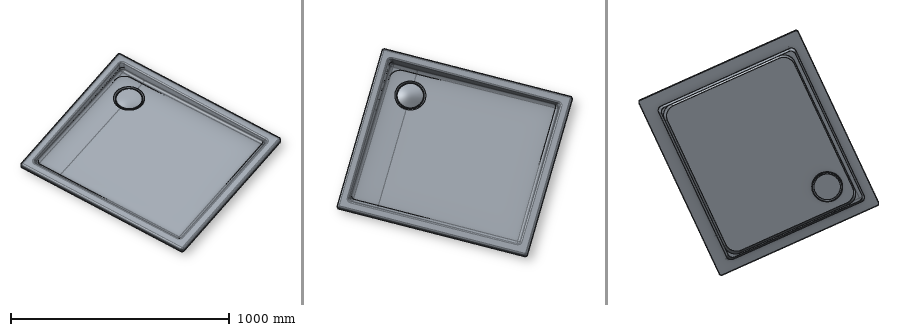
import cadquery as cq
import math

LENGTH = 900.0
WIDTH = 800.0
HEIGHT = 45.0
RIM_BOTTOM = 24.0
CORNER_RADIUS = 11.0
RIM_EDGE_RADIUS = 9.0

BOWL_INSET_FRONT_LEFT = (40.0, 40.5)
BOWL_INSET_FRONT_RIGHT = (44.0, 44.0)
BOWL_INSET_BACK_RIGHT = (40.5, 45.0)
BOWL_INSET_BACK_LEFT = (39.0, 39.0)
WALL_TAPER = 35.0
BOWL_RADIUS = 18.0
BOWL_LIP_RADIUS = 9.0

FLOOR_AT_DRAIN = 17.0
RISE_TO_LEFT = 1.0
RISE_TO_RIGHT = 11.0
RISE_TO_FRONT = 10.0

TIER_SPLIT = 12.0
UNDER_BOTTOM = 6.0
UPPER_TIER_TOP = {"left": 47.0, "right": 64.0, "front": 64.0, "back": 46.0}
UPPER_TIER_BOTTOM = {"left": 57.0, "right": 73.0, "front": 76.0, "back": 53.0}
LOWER_TIER_TOP = {"left": 63.0, "right": 73.0, "front": 76.0, "back": 71.0}
LOWER_TIER_BOTTOM = {"left": 74.0, "right": 82.0, "front": 86.0, "back": 76.5}
UPPER_TIER_CORNER_RADIUS = 22.5
LOWER_TIER_CORNER_RADIUS = 54.0

DRAIN_INSET = 180.0
SUMP_TOP = 12.0
SUMP_TOP_DIAMETER = 148.0
SUMP_BOTTOM_DIAMETER = 134.0
RECESS_LIP_DIAMETER = 140.0
RECESS_SEAT_DIAMETER = 126.0
RECESS_LIP_DEPTH = 7.0
RECESS_BOTTOM = 4.5

COVER_DIAMETER = 121.0
COVER_EDGE_HEIGHT = 15.0
COVER_CROWN_HEIGHT = 26.0

LEFT = -LENGTH / 2
RIGHT = LENGTH / 2
FRONT = -WIDTH / 2
BACK = WIDTH / 2
DRAIN_X = LEFT + DRAIN_INSET
DRAIN_Y = BACK - DRAIN_INSET


def rounded_section(height, insets, corner_radius):
    """Rounded rectangle at a given height, set in from the four outer faces."""
    size_x = LENGTH - insets["left"] - insets["right"]
    size_y = WIDTH - insets["front"] - insets["back"]
    center_x = (insets["left"] - insets["right"]) / 2
    center_y = (insets["front"] - insets["back"]) / 2
    section = cq.Sketch().rect(size_x, size_y).vertices().fillet(corner_radius)
    return section.moved(cq.Location(cq.Vector(center_x, center_y, height)))


def make_rim():
    slab = cq.Workplane("XY").workplane(offset=RIM_BOTTOM).rect(LENGTH, WIDTH).extrude(HEIGHT - RIM_BOTTOM)
    return slab.edges("|Z").fillet(CORNER_RADIUS).faces(">Z").edges().fillet(RIM_EDGE_RADIUS)


def make_tier(bottom, top, bottom_insets, top_insets, corner_radius):
    """Tapered block with rounded corners."""
    lower = rounded_section(bottom, bottom_insets, corner_radius)
    upper = rounded_section(top, top_insets, corner_radius)
    return cq.Workplane("XY").placeSketch(lower, upper).loft(ruled=True)


def make_underside():
    upper_tier = make_tier(
        TIER_SPLIT, RIM_BOTTOM, UPPER_TIER_BOTTOM, UPPER_TIER_TOP, UPPER_TIER_CORNER_RADIUS
    )
    lower_tier = make_tier(
        UNDER_BOTTOM, TIER_SPLIT, LOWER_TIER_BOTTOM, LOWER_TIER_TOP, LOWER_TIER_CORNER_RADIUS
    )
    return upper_tier.union(lower_tier)


def cone_at_drain(bottom, top, bottom_diameter, top_diameter):
    return (
        cq.Workplane("XY").workplane(offset=bottom).center(DRAIN_X, DRAIN_Y).circle(bottom_diameter / 2)
        .workplane(offset=top - bottom).circle(top_diameter / 2)
        .loft(ruled=True)
    )


def cylinder_at_drain(bottom, top, diameter):
    base = cq.Workplane("XY").workplane(offset=bottom).center(DRAIN_X, DRAIN_Y)
    return base.circle(diameter / 2).extrude(top - bottom)


def make_space_above_floor():
    """Block whose lower side is the floor: a shallow valley along Y, tilted to rise to the front."""
    profile = [
        (LEFT, FLOOR_AT_DRAIN + RISE_TO_LEFT),
        (DRAIN_X, FLOOR_AT_DRAIN),
        (RIGHT, FLOOR_AT_DRAIN + RISE_TO_RIGHT),
        (RIGHT, 2 * HEIGHT),
        (LEFT, 2 * HEIGHT),
    ]
    block = cq.Workplane("XZ").polyline(profile).close().extrude(WIDTH, both=True)
    tilt = math.degrees(math.atan(RISE_TO_FRONT / (DRAIN_Y - FRONT)))
    return block.rotate((LEFT, DRAIN_Y, FLOOR_AT_DRAIN), (RIGHT, DRAIN_Y, FLOOR_AT_DRAIN), -tilt)


def make_bowl():
    """Volume inside the bowl: sloping walls above the floor."""
    opening = [
        (LEFT + BOWL_INSET_FRONT_LEFT[0], FRONT + BOWL_INSET_FRONT_LEFT[1]),
        (RIGHT - BOWL_INSET_FRONT_RIGHT[0], FRONT + BOWL_INSET_FRONT_RIGHT[1]),
        (RIGHT - BOWL_INSET_BACK_RIGHT[0], BACK - BOWL_INSET_BACK_RIGHT[1]),
        (LEFT + BOWL_INSET_BACK_LEFT[0], BACK - BOWL_INSET_BACK_LEFT[1]),
    ]
    walls = (
        cq.Workplane("XY").workplane(offset=HEIGHT).polyline(opening).close()
        .extrude(-HEIGHT, taper=WALL_TAPER)
    )
    bowl = walls.intersect(make_space_above_floor())

    opening_edges = bowl.faces(">Z").edges().vals()
    valley_middle = (DRAIN_X, 0, FLOOR_AT_DRAIN + RISE_TO_FRONT * DRAIN_Y / (DRAIN_Y - FRONT))
    valley = bowl.edges(cq.NearestToPointSelector(valley_middle)).val()
    sharp_edges = opening_edges + [valley]
    rounded = [
        edge for edge in bowl.edges().vals()
        if not any(edge.isSame(sharp) for sharp in sharp_edges)
    ]
    return bowl.newObject(rounded).fillet(BOWL_RADIUS)


def make_tray():
    tray = make_rim().union(make_underside())
    tray = tray.union(cone_at_drain(0, SUMP_TOP, SUMP_BOTTOM_DIAMETER, SUMP_TOP_DIAMETER))
    tray = tray.cut(make_bowl())

    lip = tray.faces(">Z").val().innerWires()[0]
    tray = tray.newObject(lip.Edges()).fillet(BOWL_LIP_RADIUS)

    seat = FLOOR_AT_DRAIN - RECESS_LIP_DEPTH
    slope = (RECESS_LIP_DIAMETER - RECESS_SEAT_DIAMETER) / RECESS_LIP_DEPTH
    lip_top_diameter = RECESS_SEAT_DIAMETER + slope * (HEIGHT - seat)
    tray = tray.cut(cone_at_drain(seat, HEIGHT, RECESS_SEAT_DIAMETER, lip_top_diameter))
    return tray.cut(cylinder_at_drain(RECESS_BOTTOM, seat, COVER_DIAMETER))


def make_drain_cover():
    """Round plug with a domed top, resting on the recess bottom."""
    radius = COVER_DIAMETER / 2
    crown = COVER_CROWN_HEIGHT - COVER_EDGE_HEIGHT
    sphere_radius = (radius**2 + crown**2) / (2 * crown)
    mid_height = COVER_CROWN_HEIGHT - sphere_radius + math.sqrt(sphere_radius**2 - (radius / 2) ** 2)
    return (
        cq.Workplane("XZ", origin=(DRAIN_X, DRAIN_Y, 0))
        .moveTo(0, RECESS_BOTTOM)
        .lineTo(radius, RECESS_BOTTOM)
        .lineTo(radius, COVER_EDGE_HEIGHT)
        .threePointArc((radius / 2, mid_height), (0, COVER_CROWN_HEIGHT))
        .close()
        .revolve(360, (0, 0, 0), (0, 1, 0))
    )


tray = make_tray()
drain_cover = make_drain_cover()
result = cq.Compound.makeCompound([tray.val(), drain_cover.val()])